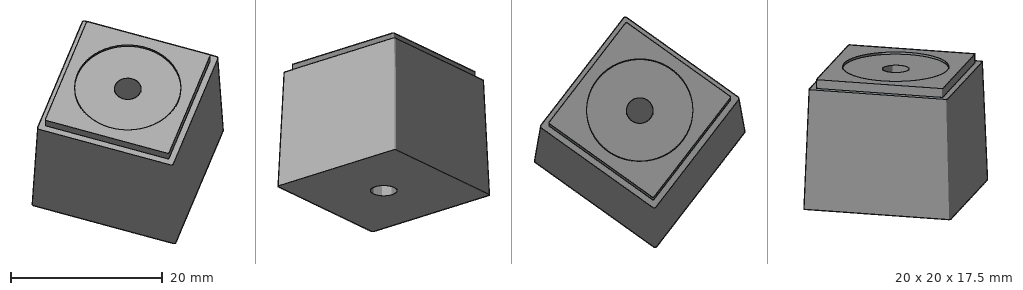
import cadquery as cq

base_side = 20.0
shoulder_side = 18.85
body_height = 16.3
body_corner_radius = 0.3

total_height = 17.5
step_side = 17.2
step_corner_radius = 0.15
step_height = total_height - body_height

recess_diameter = 14.0
recess_depth = 0.3
hole_diameter = 3.5


def rounded_square(side, corner_radius):
    """Square outline with rounded corners, centred on the origin."""
    return cq.Sketch().rect(side, side).vertices().fillet(corner_radius)


body = (
    cq.Workplane("XY")
    .placeSketch(
        rounded_square(base_side, body_corner_radius),
        rounded_square(shoulder_side, body_corner_radius).moved(cq.Location(cq.Vector(0, 0, body_height))),
    )
    .loft()
)

step = (
    cq.Workplane("XY")
    .workplane(offset=body_height)
    .placeSketch(rounded_square(step_side, step_corner_radius))
    .extrude(step_height)
)

recess = (
    cq.Workplane("XY")
    .workplane(offset=total_height - recess_depth)
    .circle(recess_diameter / 2)
    .extrude(recess_depth)
)

hole = cq.Workplane("XY").circle(hole_diameter / 2).extrude(total_height)

result = body.union(step).cut(recess).cut(hole)